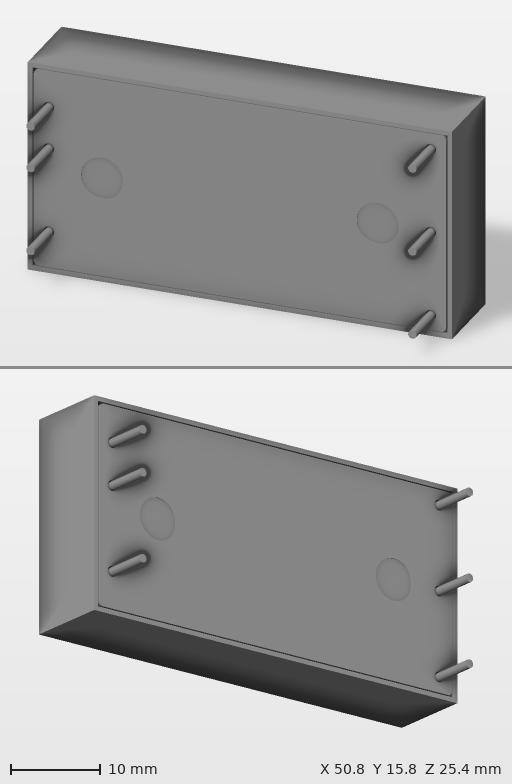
import cadquery as cq

case_length = 50.8
case_height = 25.4
case_depth = 10.2
rim_width = 0.55

plate_thickness = 1.0
plate_gap = 0.15
plate_corner_radius = 0.65
plate_length = case_length - 2 * (rim_width + plate_gap)
plate_height = case_height - 2 * (rim_width + plate_gap)

mark_diameter = 5.0
mark_depth = 0.1
mark_offset = 16.5

pin_pitch = 2.54
pin_diameter = 1.0
pin_projection = 5.6
pin_hole_diameter = 1.25
pin_column = 9 * pin_pitch
left_pin_rows = [3, 1, -3]
right_pin_rows = [4, 0, -4]
pin_points = [(-pin_column, row * pin_pitch) for row in left_pin_rows]
pin_points += [(pin_column, row * pin_pitch) for row in right_pin_rows]


def front_plane(depth):
    """Plane facing -Y, set back from the case front; its axes are X and Z."""
    return cq.Workplane("XZ", origin=(0, depth, 0))


def make_case():
    """Block with a sharp-cornered recess that takes the plate."""
    block = front_plane(case_depth).rect(case_length, case_height).extrude(case_depth)
    recess = (
        front_plane(plate_thickness)
        .rect(case_length - 2 * rim_width, case_height - 2 * rim_width)
        .extrude(plate_thickness)
    )
    return block.cut(recess)


def make_plate():
    """Plate with rounded corners, clearance holes for the pins and two sunk marks."""
    plate = (
        front_plane(plate_thickness)
        .rect(plate_length, plate_height)
        .extrude(plate_thickness)
        .edges("|Y")
        .fillet(plate_corner_radius)
    )
    holes = (
        front_plane(plate_thickness)
        .pushPoints(pin_points)
        .circle(pin_hole_diameter / 2)
        .extrude(plate_thickness)
    )
    marks = (
        front_plane(mark_depth)
        .pushPoints([(-mark_offset, 0), (mark_offset, 0)])
        .circle(mark_diameter / 2)
        .extrude(mark_depth)
    )
    return plate.cut(holes).cut(marks)


def make_pin(point):
    """Round pin that stands on the recess floor and passes through the plate."""
    return (
        front_plane(plate_thickness)
        .center(*point)
        .circle(pin_diameter / 2)
        .extrude(plate_thickness + pin_projection)
    )


case = make_case()
plate = make_plate()
pins = []
for pin_point in pin_points:
    pins.append(make_pin(pin_point).val())

result = cq.Compound.makeCompound([case.val(), plate.val(), *pins])